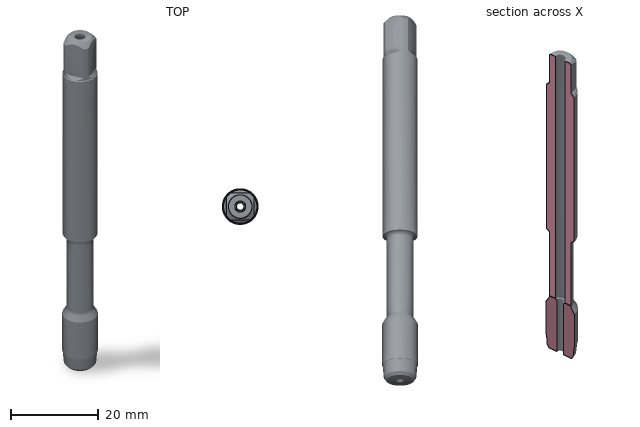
import cadquery as cq
import math

total_length = 90.0
lead_length = 3.8
head_top = 13.95
joint_height = 15.9
shank_bottom = 35.9
shank_top = 80.1
flat_bottom = 81.0

shank_diameter = 8.0
neck_diameter = 6.2
head_diameter = 8.2
lead_top_diameter = 8.0
lead_bottom_diameter = 7.5
tip_diameter = 6.3
shank_bore = 2.5
head_bore = 1.7

square_width = 6.2
square_corner_diameter = 7.65
drive_end_diameter = 5.4
neck_fillet = 0.8
joint_blend_radius = 1.1
shoulder_angle = math.radians(30)
tip_chamfer_height = 0.7


def make_shank():
    """Coolant-bored neck and shank with a square drive on its upper end."""
    neck_radius = neck_diameter / 2
    shank_radius = shank_diameter / 2
    corner_radius = square_corner_diameter / 2
    end_radius = drive_end_diameter / 2
    chamfer_height = corner_radius - end_radius
    fillet_offset = neck_fillet * (1 - math.sqrt(0.5))
    body = (
        cq.Workplane("XZ")
        .moveTo(shank_bore / 2, joint_height)
        .lineTo(neck_radius, joint_height)
        .lineTo(neck_radius, shank_bottom - neck_fillet)
        .threePointArc(
            (neck_radius + fillet_offset, shank_bottom - fillet_offset),
            (neck_radius + neck_fillet, shank_bottom),
        )
        .lineTo(shank_radius, shank_bottom)
        .lineTo(shank_radius, shank_top)
        .lineTo(corner_radius, shank_top + shank_radius - corner_radius)
        .lineTo(corner_radius, total_length - chamfer_height)
        .lineTo(end_radius, total_length)
        .lineTo(shank_bore / 2, total_length)
        .close()
        .revolve(360, (0, 0), (0, 1))
    )
    for side in range(4):
        body = body.cut(flat_cutter().rotate((0, 0, 0), (0, 0, 1), 90 * side))
    return body


def flat_cutter():
    """Cutter for one drive flat, with a 45 degree run-out at its foot."""
    inner = square_width / 2
    outer = shank_diameter
    return (
        cq.Workplane("XZ")
        .polyline([
            (inner, flat_bottom),
            (outer, flat_bottom - (outer - inner)),
            (outer, total_length),
            (inner, total_length),
        ])
        .close()
        .extrude(shank_diameter / 2, both=True)
    )


def make_head():
    """Working head: chamfered tip, tapered lead, and a conical shoulder blended into the neck."""
    neck_radius = neck_diameter / 2
    blend_centre = neck_radius + joint_blend_radius

    def blend_point(angle):
        return (
            blend_centre - joint_blend_radius * math.cos(angle),
            joint_height - joint_blend_radius * math.sin(angle),
        )

    return (
        cq.Workplane("XZ")
        .moveTo(head_bore / 2, 0)
        .lineTo(tip_diameter / 2, 0)
        .lineTo(lead_bottom_diameter / 2, tip_chamfer_height)
        .lineTo(lead_top_diameter / 2, lead_length)
        .lineTo(head_diameter / 2, lead_length)
        .lineTo(head_diameter / 2, head_top)
        .lineTo(*blend_point(shoulder_angle))
        .threePointArc(blend_point(shoulder_angle / 2), blend_point(0))
        .lineTo(head_bore / 2, joint_height)
        .close()
        .revolve(360, (0, 0), (0, 1))
    )


shank = make_shank()
head = make_head()
result = cq.Compound.makeCompound([shank.val(), head.val()])